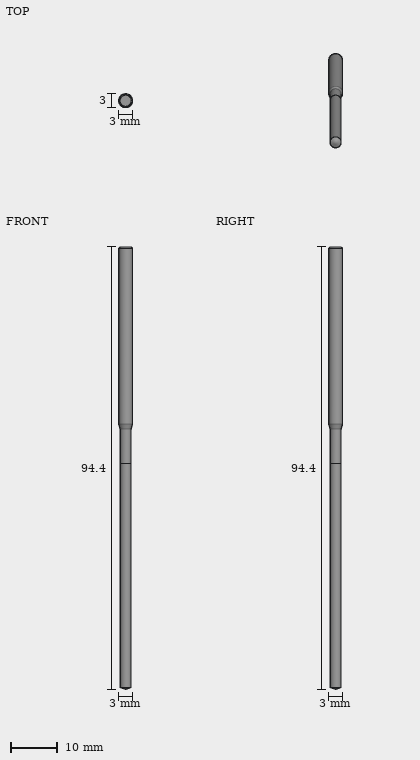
import cadquery as cq
import math


shank_diameter = 3.0
drill_diameter = 2.39
point_angle = 140.0
cutting_length = 47.75
shank_top = 94.0
shank_length = 37.8
taper_length = 1.1
end_chamfer = 0.3

shank_radius = shank_diameter / 2
drill_radius = drill_diameter / 2
point_height = drill_radius / math.tan(math.radians(point_angle / 2))
shank_bottom = shank_top - shank_length
neck_top = shank_bottom - taper_length


def turned(profile):
    """Revolve (radius, height) points about Z, starting on the -Y side."""
    points = [(-radius, height) for radius, height in profile]
    return cq.Workplane("YZ").polyline(points).close().revolve(360, (0, 0), (0, 1))


cutting_section = turned([
    (0, -point_height),
    (drill_radius, 0),
    (drill_radius, cutting_length),
    (0, cutting_length),
])

shank = turned([
    (0, cutting_length),
    (drill_radius, cutting_length),
    (drill_radius, neck_top),
    (shank_radius, shank_bottom),
    (shank_radius, shank_top - end_chamfer),
    (shank_radius - end_chamfer, shank_top),
    (0, shank_top),
])

result = cq.Compound.makeCompound([cutting_section.val(), shank.val()])